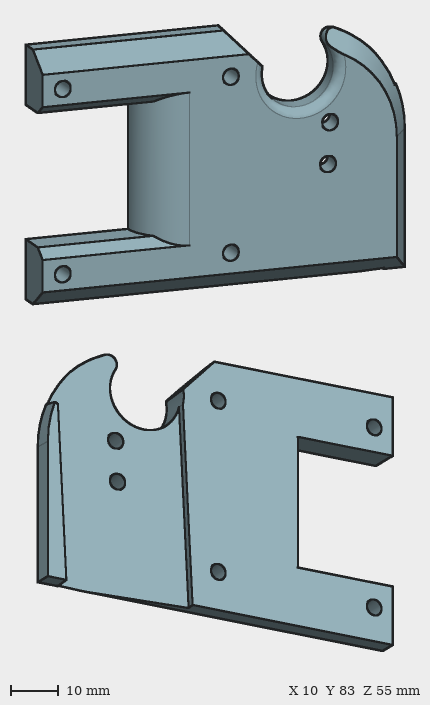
import cadquery as cq
import math

COS_45 = math.sqrt(0.5)

THICKNESS = 10.0
LENGTH = 83.0
HEIGHT = 55.0
MARGIN = 10.0

BEVEL_ANGLE = 35.0
OUTER_BEVEL_DEPTH = 4.0
SLOT_BEVEL_DEPTH = 2.0

NOSE_RADIUS = 25.0
NOSE_CENTER = (LENGTH - NOSE_RADIUS, HEIGHT - NOSE_RADIUS)

SLOT_LENGTH = 22.8
SLOT_HEIGHT = 29.0
SLOT_END_RADIUS = THICKNESS

RECESS_EDGE_Y = 48.0
RECESS_STEP = 2.0
RECESS_TURN = 3.0
RECESS_LEAN = 5.3
RECESS_WIDTH = 30.2

RIM_TOP_Y = LENGTH - 1.7
RIM_TOP_Z = 39.7
RIM_TOP_SLOPE = 0.5
RIM_TOP_TILT = 10.0

THROAT_CENTER = (58.1, 46.0)
THROAT_RADIUS = 8.0
THROAT_FILLET = 2.0
TIP_RADIUS = 2.0
SLANT_TOP_Y = 42.8

HOLE_DIAMETER = 3.5
BLOCK_HOLE_Y = 42.0
BLOCK_HOLE_SPACING = 38.0
ARM_HOLE_Y = 4.5
ARM_HOLE_SPACING = 40.0
RECESS_HOLES = [(64.8, 34.5), (64.35, 25.5)]


def bevel_width(depth):
    """Extent along X of a bevel that is `depth` deep at the +X face."""
    return depth / math.tan(math.radians(BEVEL_ANGLE))


def along_x(sketch, start, end):
    """Extrude a closed outline, drawn in the YZ plane, from x = start to x = end."""
    return sketch.extrude(end - start).translate((start, 0, 0))


def lean(body):
    """Lean a body about the near edge of the recess, so that it stands square to the floor."""
    turn = math.radians(RECESS_TURN)
    foot = (RECESS_STEP, RECESS_EDGE_Y, 0)
    along_edge = (RECESS_STEP, RECESS_EDGE_Y + math.sin(turn), math.cos(turn))
    return body.rotate(foot, along_edge, -RECESS_LEAN)


def point_toward(start, end, distance):
    """The point at `distance` from `start` on the ray through `end`."""
    scale = distance / math.dist(start, end)
    return (start[0] + scale * (end[0] - start[0]), start[1] + scale * (end[1] - start[1]))


def make_plate():
    """Rectangular plate with the nose rounded and a bevel along bottom, end, nose and top."""
    bevel_start = THICKNESS - bevel_width(OUTER_BEVEL_DEPTH)
    nose_y, nose_z = NOSE_CENTER
    nose_middle = (nose_y + NOSE_RADIUS * COS_45, nose_z + NOSE_RADIUS * COS_45)

    def outline(start):
        return (
            cq.Workplane("YZ", origin=(start, 0, 0))
            .moveTo(-MARGIN, 0)
            .lineTo(LENGTH, 0)
            .lineTo(LENGTH, nose_z)
            .threePointArc(nose_middle, (nose_y, HEIGHT))
            .lineTo(-MARGIN, HEIGHT)
            .close()
        )

    base = outline(0).extrude(bevel_start)
    beveled = outline(bevel_start).extrude(THICKNESS - bevel_start, taper=BEVEL_ANGLE)
    fork_end = cq.Workplane("XY").box(THICKNESS, LENGTH, HEIGHT, centered=False)
    return base.union(beveled).intersect(fork_end)


def make_slot():
    """Cutter for the fork slot: beveled at the +X side and with a quarter-round end."""
    half = SLOT_HEIGHT / 2
    bevel_start = THICKNESS - bevel_width(SLOT_BEVEL_DEPTH)
    wide = half + SLOT_BEVEL_DEPTH
    section = (
        cq.Workplane("XZ", origin=(0, 0, HEIGHT / 2))
        .polyline([(0, -half), (bevel_start, -half), (THICKNESS, -wide)])
        .lineTo(THICKNESS, wide)
        .lineTo(bevel_start, half)
        .lineTo(0, half)
        .close()
        .extrude(-LENGTH)
    )
    round_center_y = SLOT_LENGTH + SLOT_END_RADIUS
    middle = SLOT_END_RADIUS * COS_45
    reach = (
        cq.Workplane("XY")
        .lineTo(0, SLOT_LENGTH)
        .threePointArc((middle, round_center_y - middle), (SLOT_END_RADIUS, round_center_y))
        .lineTo(THICKNESS, 0)
        .close()
        .extrude(HEIGHT)
    )
    return section.intersect(reach)


def make_recess():
    """Cutter for the leaning recess, with the slanted cut that tops the rim beside it."""
    pocket = (
        cq.Workplane("YZ")
        .center(RECESS_EDGE_Y, 0)
        .transformed(rotate=(0, 0, -RECESS_TURN))
        .moveTo(0, -MARGIN)
        .lineTo(RECESS_WIDTH, -MARGIN)
        .lineTo(RECESS_WIDTH, HEIGHT + MARGIN)
        .lineTo(0, HEIGHT + MARGIN)
        .close()
    )
    rise = RIM_TOP_SLOPE * MARGIN
    above_rim = (
        cq.Workplane("YZ")
        .moveTo(RIM_TOP_Y - MARGIN, RIM_TOP_Z - rise)
        .lineTo(RIM_TOP_Y + MARGIN, RIM_TOP_Z + rise)
        .lineTo(RIM_TOP_Y - MARGIN, HEIGHT)
        .close()
    )
    rim_axis = (0, RIM_TOP_Y, RIM_TOP_Z)
    rim_axis_end = (0, RIM_TOP_Y + 1, RIM_TOP_Z)
    rim_cut = along_x(above_rim, -MARGIN, THICKNESS).rotate(rim_axis, rim_axis_end, -RIM_TOP_TILT)
    in_front_of_floor = cq.Workplane("YZ").rect(2 * LENGTH, 2 * HEIGHT)
    rim_cut = rim_cut.intersect(along_x(in_front_of_floor, -MARGIN, RECESS_STEP))
    return lean(along_x(pocket, -MARGIN, RECESS_STEP).union(rim_cut))


def tip_center():
    """Center of the tip round, which touches the nose from inside and the throat from outside."""
    nose_y, nose_z = NOSE_CENTER
    throat_y, throat_z = THROAT_CENTER
    from_nose = NOSE_RADIUS - TIP_RADIUS
    from_throat = THROAT_RADIUS + TIP_RADIUS
    gap = math.dist(NOSE_CENTER, THROAT_CENTER)
    along = (from_nose**2 - from_throat**2 + gap**2) / (2 * gap)
    across = math.sqrt(from_nose**2 - along**2)
    unit_y = (throat_y - nose_y) / gap
    unit_z = (throat_z - nose_z) / gap
    return (nose_y + along * unit_y + across * unit_z, nose_z + along * unit_z - across * unit_y)


def make_opening():
    """Cutter for the throat: slanted edge, throat arc and the round at the tip of the hook."""
    tip = tip_center()
    tip_start = point_toward(THROAT_CENTER, tip, THROAT_RADIUS)
    tip_end = point_toward(NOSE_CENTER, tip, NOSE_RADIUS)
    chord_middle = ((tip_start[0] + tip_end[0]) / 2, (tip_start[1] + tip_end[1]) / 2)
    tip_middle = point_toward(tip, chord_middle, TIP_RADIUS)

    throat_y, throat_z = THROAT_CENTER
    slant_distance = (throat_y + throat_z - SLANT_TOP_Y - HEIGHT) * COS_45
    half_chord = math.sqrt(THROAT_RADIUS**2 - slant_distance**2)
    slant_end = (
        throat_y - (slant_distance + half_chord) * COS_45,
        throat_z - (slant_distance - half_chord) * COS_45,
    )
    profile = (
        cq.Workplane("YZ")
        .moveTo(SLANT_TOP_Y - MARGIN, HEIGHT + MARGIN)
        .lineTo(*slant_end)
        .threePointArc((throat_y, throat_z - THROAT_RADIUS), tip_start)
        .threePointArc(tip_middle, tip_end)
        .lineTo(tip_end[0], HEIGHT + MARGIN)
        .close()
    )
    return lean(along_x(profile, -MARGIN, THICKNESS + MARGIN))


def make_holes(centers):
    """Cutters for plain through holes along X."""
    circles = cq.Workplane("YZ").pushPoints(centers).circle(HOLE_DIAMETER / 2)
    return along_x(circles, -MARGIN, THICKNESS + MARGIN)


def fillet_throat(body):
    """Round the edge where the throat meets the +X face."""
    throat_y, throat_z = THROAT_CENTER
    lowest = (THICKNESS, throat_y, throat_z - THROAT_RADIUS)
    return body.edges(cq.selectors.NearestToPointSelector(lowest)).fillet(THROAT_FILLET)


square_holes = [
    (y, HEIGHT / 2 + side * spacing / 2)
    for y, spacing in ((BLOCK_HOLE_Y, BLOCK_HOLE_SPACING), (ARM_HOLE_Y, ARM_HOLE_SPACING))
    for side in (-1, 1)
]

plate = make_plate().cut(make_slot())
hooked = fillet_throat(plate.cut(make_opening()))
result = hooked.cut(make_recess()).cut(make_holes(square_holes)).cut(lean(make_holes(RECESS_HOLES)))